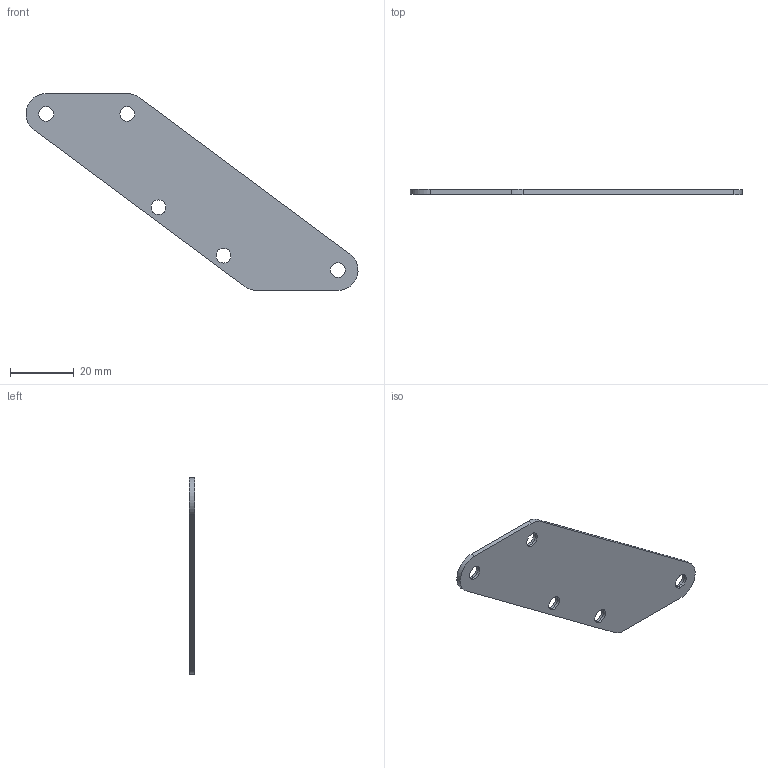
import cadquery as cq
import math

length = 104.08
height = 61.69
thickness = 1.59
corner_radius = 6.35
hole_diameter = 4.62
end_hole_spacing = 25.4

outer_x = length / 2 - corner_radius
outer_z = height / 2 - corner_radius
inner_x = outer_x - end_hole_spacing
upper_left = (-outer_x, outer_z)
upper_right = (-inner_x, outer_z)
lower_right = (outer_x, -outer_z)
lower_left = (inner_x, -outer_z)

pair_edge_distance = 3.81
pair_start_distance = 45.72
pair_spacing = 25.4
edge_slope = math.atan2(upper_left[1] - lower_left[1], lower_left[0] - upper_left[0])


def point_along_edge(distance):
    """Hole centre at a distance along the lower slanted edge, set in from that edge."""
    drop = corner_radius - pair_edge_distance
    x = upper_left[0] + distance * math.cos(edge_slope) - drop * math.sin(edge_slope)
    z = upper_left[1] - distance * math.sin(edge_slope) - drop * math.cos(edge_slope)
    return (x, z)


def make_plate():
    """Parallelogram through the corner centres, grown outward by the corner radius."""
    return (
        cq.Workplane("XZ")
        .polyline([upper_left, upper_right, lower_right, lower_left])
        .close()
        .offset2D(corner_radius, "arc")
        .extrude(thickness / 2, both=True)
    )


def drill_holes(plate):
    """Equal through holes: three at corner centres and the slanted pair."""
    pair_start = point_along_edge(pair_start_distance)
    pair_end = point_along_edge(pair_start_distance + pair_spacing)
    cutter = (
        cq.Workplane("XZ")
        .pushPoints([upper_left, upper_right, lower_right, pair_start, pair_end])
        .circle(hole_diameter / 2)
        .extrude(thickness, both=True)
    )
    return plate.cut(cutter)


result = drill_holes(make_plate())